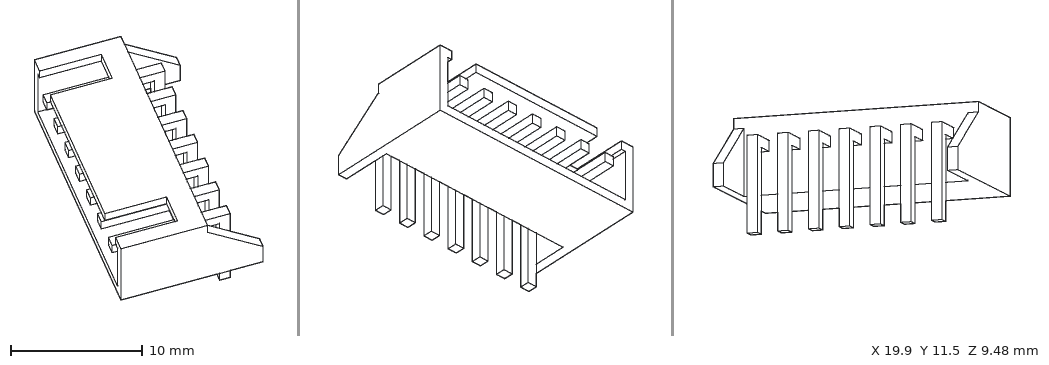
import cadquery as cq

width = 19.9
depth = 7.0
height = 6.1
wall = 0.8
cavity_depth = depth - wall

slot_width = 2.5
slot_length = 5.0
slot_inset = 1.2

wing_length = 4.5
wing_thickness = 0.84
wing_front_height = 5.3
wing_rear_height = 1.81

pin_count = 7
pin_pitch = 2.5
pin_size = 0.85
pin_bottom = 3.36
pin_rear_overhang = 2.55
pin_drop = 3.38

pin_rear_y = depth + pin_rear_overhang
pin_top = pin_bottom + pin_size
pin_centres = [(i - (pin_count - 1) / 2) * pin_pitch for i in range(pin_count)]


def box(x_start, y_start, z_start, x_size, y_size, z_size):
    """Box given by its lowest corner and its sizes."""
    return cq.Workplane("XY").box(x_size, y_size, z_size, centered=False).translate(
        (x_start, y_start, z_start)
    )


def make_wing(x_start):
    """Side wing with a sloping top edge, reaching back from the housing."""
    return (
        cq.Workplane("YZ", origin=(x_start, 0, 0))
        .moveTo(depth, 0)
        .lineTo(depth + wing_length, 0)
        .lineTo(depth + wing_length, wing_rear_height)
        .lineTo(depth, wing_front_height)
        .close()
        .extrude(wing_thickness)
    )


def make_housing():
    """Shell with roof slots, two rear wings and a square hole for each pin."""
    shell = box(-width / 2, 0, 0, width, depth, height)
    cavity = box(-width / 2 + wall, 0, wall, width - 2 * wall, cavity_depth, height - 2 * wall)
    shell = shell.cut(cavity)

    left_slot_x = -width / 2 + slot_inset
    for x_start in (left_slot_x, -left_slot_x - slot_width):
        shell = shell.cut(box(x_start, 0, height - wall, slot_width, slot_length, wall))

    for x in pin_centres:
        shell = shell.cut(box(x - pin_size / 2, 0, pin_bottom, pin_size, depth, pin_size))

    for x_start in (-width / 2, width / 2 - wing_thickness):
        shell = shell.union(make_wing(x_start))
    return shell


def make_pin(x):
    """Square pin that runs back through the housing and bends down behind it."""
    return (
        cq.Workplane("YZ", origin=(x - pin_size / 2, 0, 0))
        .moveTo(0, pin_bottom)
        .lineTo(pin_rear_y - pin_size, pin_bottom)
        .lineTo(pin_rear_y - pin_size, -pin_drop)
        .lineTo(pin_rear_y, -pin_drop)
        .lineTo(pin_rear_y, pin_top)
        .lineTo(0, pin_top)
        .close()
        .extrude(pin_size)
    )


housing = make_housing()
pins = [make_pin(x) for x in pin_centres]

result = cq.Compound.makeCompound([housing.val(), *[pin.val() for pin in pins]])